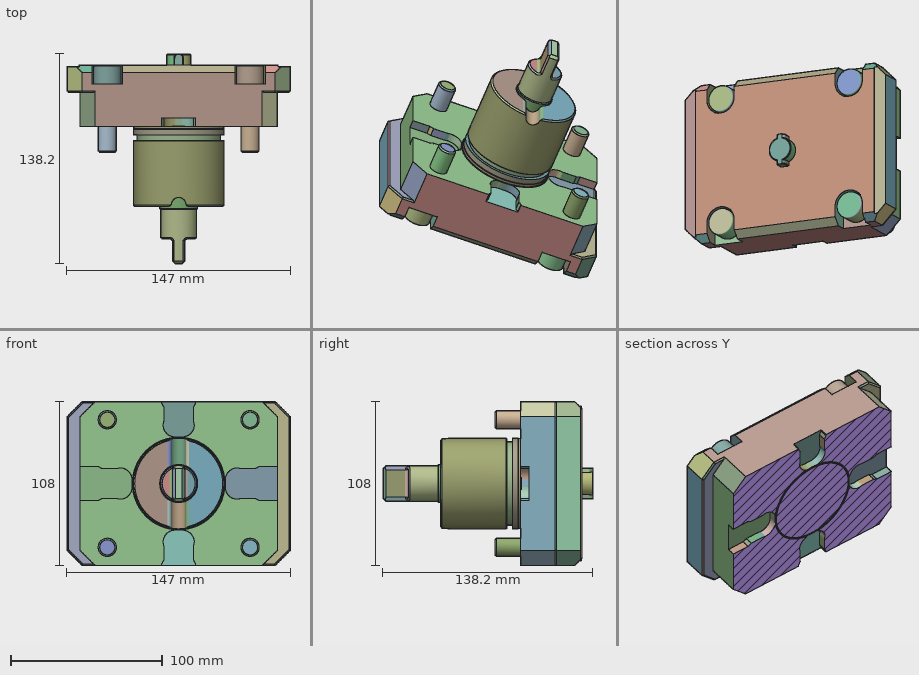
import cadquery as cq
import math


housing_width = 130.0
flange_width = 147.0
housing_height = 108.0
corner_cut = 10.0
flange_front_y = 22.5
flange_back_y = 39.5
flange_chamfer = 1.0
back_pad_width = 131.0
back_y = 40.5
back_bevel = 5.0

screw_x = 47.0
screw_z = 42.0
screw_diameter = 12.0
screw_tip_y = -17.0
screw_tip_chamfer = 1.0
screw_head_diameter = 18.0
screw_head_height = 12.0
screw_head_rounding = 0.6
screw_pocket_width = 20.0
screw_pocket_floor_y = 28.0

channel_depth = 5.5
channel_start = 30.7
channel_floor_half = 2.4
channel_bulge_half = 10.3
channel_neck_half = 9.8
channel_mouth_half = 11.2
channel_neck_start = 41.0
channel_neck_end = 50.4
channel_mouth_start = 53.0

hub_diameter = 59.9
hub_end_y = -52.7
hub_end_chamfer = 1.0
hub_edge_chamfer = 0.5
collar_diameter = 59.8
relief_diameter = 59.5
relief_end_y = -1.3
seal_groove_diameter = 55.2
seal_groove_start_y = -5.5
seal_groove_end_y = -9.1

hub_recess_diameter = 61.0
hub_recess_depth = 0.5

cross_groove_radius = 4.8
cross_groove_depth = 6.0
cross_groove_edge_radius = 2.4

shaft_diameter = 23.7
shaft_collar_diameter = 25.0
shaft_collar_end_y = -54.6
shaft_shoulder_y = -74.0
shaft_chamfer = 1.0
blade_tip_y = -90.5
blade_thickness = 8.0
blade_root_radius = 2.0
blade_tip_chamfer = 1.9
blade_face_height = 17.8
blade_edge_thickness = 5.9
shoulder_tolerance = 0.01

stub_diameter = 16.0
stub_end_y = 47.7
stub_end_chamfer = 0.5
key_width = 6.2
key_span = 20.6
key_round_y = 45.1
key_chamfer = 0.5


def section(y):
    """Return a workplane parallel to XZ at the given y; a positive extrusion goes to -Y."""
    return cq.Workplane("XZ", origin=(0, y, 0))


def cylinder(diameter, front_y, back_y):
    return section(back_y).circle(diameter / 2).extrude(back_y - front_y)


def cut_corner_block(width, front_y, back_y):
    block = section(back_y).rect(width, housing_height).extrude(back_y - front_y)
    return block.edges("|Y").chamfer(corner_cut)


def make_housing():
    flange = cut_corner_block(flange_width, flange_front_y, flange_back_y)
    flange = flange.faces("<Y").edges().chamfer(flange_chamfer)
    body = cut_corner_block(housing_width, 0, flange_back_y)
    pad = (
        section(back_y)
        .rect(back_pad_width, housing_height)
        .extrude(back_y - flange_front_y - flange_chamfer)
    )
    pad_outline = cut_corner_block(flange_width, flange_front_y, back_y)
    housing = body.union(flange).union(pad.intersect(pad_outline))
    half_height = housing_height / 2
    for side in (1, -1):
        bevel = (
            cq.Workplane("YZ")
            .moveTo(back_y, side * half_height)
            .lineTo(back_y - back_bevel, side * half_height)
            .lineTo(back_y, side * (half_height - back_bevel))
            .close()
            .extrude(flange_width / 2, both=True)
        )
        housing = housing.cut(bevel)
    return housing


def make_channel():
    """Channel from the hub toward +Z; it runs out past the side of the housing."""
    corner_radius = channel_bulge_half - channel_floor_half
    corner_z = channel_start + corner_radius
    diagonal = corner_radius * math.sqrt(0.5)
    channel_end = flange_width / 2

    outline = section(channel_depth).moveTo(-channel_floor_half, channel_start)
    outline = outline.lineTo(channel_floor_half, channel_start)
    outline = outline.threePointArc(
        (channel_floor_half + diagonal, corner_z - diagonal),
        (channel_bulge_half, corner_z),
    )
    outline = outline.lineTo(channel_neck_half, channel_neck_start)
    outline = outline.lineTo(channel_neck_half, channel_neck_end)
    outline = outline.lineTo(channel_mouth_half, channel_mouth_start)
    outline = outline.lineTo(channel_mouth_half, channel_end)
    outline = outline.lineTo(-channel_mouth_half, channel_end)
    outline = outline.lineTo(-channel_mouth_half, channel_mouth_start)
    outline = outline.lineTo(-channel_neck_half, channel_neck_end)
    outline = outline.lineTo(-channel_neck_half, channel_neck_start)
    outline = outline.lineTo(-channel_bulge_half, corner_z)
    outline = outline.threePointArc(
        (-channel_floor_half - diagonal, corner_z - diagonal),
        (-channel_floor_half, channel_start),
    )
    return outline.close().extrude(channel_depth)


def cut_channels(housing):
    channel = make_channel()
    for quarter in range(4):
        housing = housing.cut(channel.rotate((0, 0, 0), (0, 1, 0), 90 * quarter))
    return housing


def make_screw():
    head_back_y = screw_pocket_floor_y + screw_head_height
    shank = cylinder(screw_diameter, screw_tip_y, screw_pocket_floor_y)
    shank = shank.faces("<Y").chamfer(screw_tip_chamfer)
    head = cylinder(screw_head_diameter, screw_pocket_floor_y, head_back_y)
    head = head.faces(">Y").edges().fillet(screw_head_rounding)
    return shank.union(head)


def add_screws(housing):
    screw = make_screw()
    pocket_depth = back_y - screw_pocket_floor_y
    for x in (-screw_x, screw_x):
        for side in (-1, 1):
            round_end = cylinder(screw_pocket_width, screw_pocket_floor_y, back_y)
            opening = (
                section(back_y)
                .center(0, side * screw_z / 2)
                .rect(screw_pocket_width, screw_z)
                .extrude(pocket_depth)
            )
            place = (x, 0, side * screw_z)
            housing = housing.cut(round_end.union(opening).translate(place))
            housing = housing.union(screw.translate(place))
    return housing


def make_cross_groove():
    """Round-bottomed groove along Z whose mouth flares with rounded edges."""
    radius = cross_groove_radius
    edge_radius = cross_groove_edge_radius
    centre_y = hub_end_y + cross_groove_depth - radius
    edge_centre_y = hub_end_y + edge_radius
    centre_distance = radius + edge_radius
    mouth_half = math.sqrt(centre_distance**2 - (edge_centre_y - centre_y) ** 2)
    touch_x = mouth_half * radius / centre_distance
    touch_y = centre_y + (edge_centre_y - centre_y) * radius / centre_distance
    return (
        cq.Workplane("XY")
        .moveTo(mouth_half, hub_end_y)
        .radiusArc((touch_x, touch_y), edge_radius)
        .threePointArc((0, centre_y + radius), (-touch_x, touch_y))
        .radiusArc((-mouth_half, hub_end_y), edge_radius)
        .close()
        .extrude(hub_diameter, both=True)
    )


def make_hub():
    relief = cylinder(relief_diameter, relief_end_y, 0)
    collar = cylinder(collar_diameter, seal_groove_start_y, relief_end_y)
    groove_core = cylinder(seal_groove_diameter, seal_groove_end_y, seal_groove_start_y)
    barrel = cylinder(hub_diameter, hub_end_y, seal_groove_end_y)
    collar = collar.faces(">Y").chamfer(hub_edge_chamfer)
    barrel = barrel.faces(">Y").chamfer(hub_edge_chamfer)
    barrel = barrel.faces("<Y").chamfer(hub_end_chamfer)
    hub = relief.union(collar).union(groove_core).union(barrel)
    return hub.cut(make_cross_groove())


def make_blade_side_cut():
    """Space beside the blade on +X, with a rounded root at the shaft shoulder."""
    half = blade_thickness / 2
    return (
        cq.Workplane("XY")
        .moveTo(half, blade_tip_y)
        .lineTo(half, shaft_shoulder_y - blade_root_radius)
        .radiusArc((half + blade_root_radius, shaft_shoulder_y), blade_root_radius)
        .lineTo(shaft_diameter, shaft_shoulder_y)
        .lineTo(shaft_diameter, blade_tip_y)
        .close()
        .extrude(shaft_diameter, both=True)
    )


def make_blade_edge_cut():
    """Wedge that slants the long blade edge at +X and +Z, from the flat side to the round."""
    half = blade_thickness / 2
    edge_half = blade_edge_thickness / 2
    flat_z = blade_face_height / 2
    edge_z = math.sqrt((shaft_diameter / 2) ** 2 - edge_half**2)
    slope = (half - edge_half) / (edge_z - flat_z)
    outer_z = shaft_diameter / 2
    outer_x = edge_half - slope * (outer_z - edge_z)
    start_y = shaft_shoulder_y - blade_root_radius / 2
    return (
        section(start_y)
        .moveTo(half, flat_z)
        .lineTo(outer_x, outer_z)
        .lineTo(half, outer_z)
        .close()
        .extrude(start_y - blade_tip_y)
    )


def make_shaft():
    groove_floor_y = hub_end_y + cross_groove_depth
    collar = cylinder(shaft_collar_diameter, shaft_collar_end_y, groove_floor_y)
    collar_chamfer = (shaft_collar_diameter - shaft_diameter) / 2
    collar = collar.faces("<Y").chamfer(collar_chamfer)

    shaft = cylinder(shaft_diameter, blade_tip_y, groove_floor_y)
    shaft = shaft.faces("<Y").chamfer(blade_tip_chamfer)
    side_cut = make_blade_side_cut()
    edge_cut = make_blade_edge_cut()
    shaft = shaft.cut(side_cut).cut(side_cut.mirror("YZ"))
    shaft = shaft.faces("<Y").edges("|Z").chamfer(blade_tip_chamfer)
    shoulder_rims = cq.selectors.BoxSelector(
        (-shaft_diameter, shaft_shoulder_y - shoulder_tolerance, -shaft_diameter),
        (shaft_diameter, shaft_shoulder_y + shoulder_tolerance, shaft_diameter),
    )
    shaft = shaft.edges(shoulder_rims).edges("%CIRCLE").chamfer(shaft_chamfer)
    for cutter in (edge_cut, edge_cut.mirror("XY")):
        shaft = shaft.cut(cutter).cut(cutter.mirror("YZ"))
    return collar.union(shaft)


def make_key():
    """Key across the stub along Z whose sides round in towards the stub end."""
    key_radius = key_width / 2
    length = key_round_y - screw_pocket_floor_y
    bar = (
        cq.Workplane("XY")
        .center(0, key_round_y - length / 2)
        .rect(key_width, length)
        .extrude(key_span / 2, both=True)
    )
    nose = (
        cq.Workplane("XY")
        .center(0, key_round_y)
        .circle(key_radius)
        .extrude(key_span / 2, both=True)
    )
    key = bar.union(nose).faces("<Z or >Z").chamfer(key_chamfer)
    return key.intersect(cylinder(2 * key_span, screw_pocket_floor_y, stub_end_y))


def make_stub():
    stub = cylinder(stub_diameter, screw_pocket_floor_y, stub_end_y)
    stub = stub.faces(">Y").chamfer(stub_end_chamfer)
    return stub.union(make_key())


def make_hub_recess():
    """Ring-shaped space around the foot of the hub."""
    recess = cylinder(hub_recess_diameter, 0, hub_recess_depth)
    return recess.cut(cylinder(relief_diameter, 0, hub_recess_depth))


result = cut_channels(make_housing())
result = add_screws(result)
result = result.cut(make_hub_recess())
result = result.union(make_hub()).union(make_shaft()).union(make_stub())